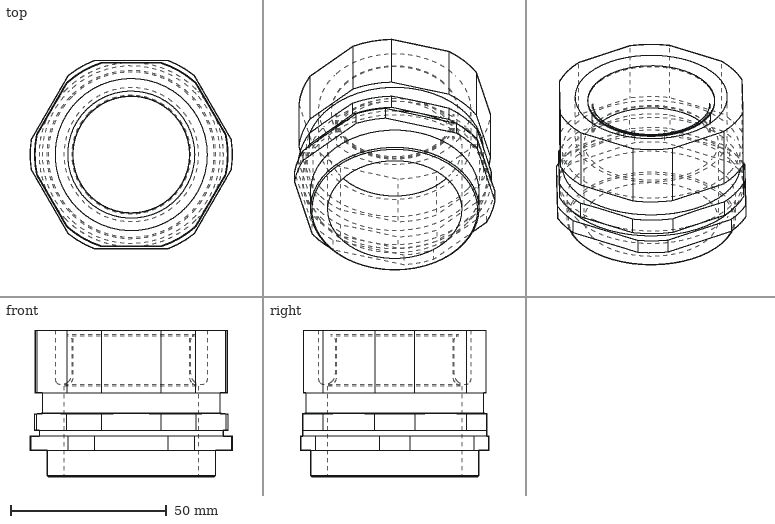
import cadquery as cq
import math

thread_top = 8.5
locknut_top = 13.05
collar_top = 14.95
body_hex_top = 20.45
neck_top = 26.95
overall_height = 47.0

thread_diameter = 54.1
thread_chamfer = 0.45
collar_diameter = 59.1
neck_diameter = 57.1

locknut_flats = 60.5
locknut_corners = 64.95
body_hex_flats = 59.1
body_hex_corners = 62.15
body_hex_slope_drop = 0.3
cap_flats = 58.65
cap_corners = 61.7

cap_bore_radius = 24.4
tube_bore_radius = 18.7
tube_wall = 0.4
tube_outer_radius = tube_bore_radius + tube_wall
lip_rim_radius = 20.4
lip_top = overall_height - 1.35
lip_radius = lip_rim_radius - tube_bore_radius
lip_bottom = lip_top - lip_radius

flare_radius = 2.85
flare_top = 32.1
flare_bottom = flare_top - flare_radius
lower_bore_radius = tube_bore_radius + flare_radius

groove_floor = flare_bottom + tube_wall
groove_fillet = 1.75

DIAGONAL = math.sqrt(0.5)


def disc(diameter, bottom, top):
    return cq.Workplane("XY").workplane(offset=bottom).circle(diameter / 2).extrude(top - bottom)


def rounded_hexagon(flats, corners, bottom, top):
    """Hexagon with flats facing +Y and -Y and its corners turned down to a circle."""
    point_diameter = flats / math.cos(math.pi / 6)
    hexagon = cq.Workplane("XY").workplane(offset=bottom).polygon(6, point_diameter).extrude(top - bottom)
    return hexagon.intersect(disc(corners, bottom, top))


def body_hexagon():
    """Hexagon whose upper face slopes gently down from the neck to the corners."""
    hexagon = rounded_hexagon(body_hex_flats, body_hex_corners, collar_top, body_hex_top)
    corner_radius = body_hex_corners / 2
    turned_blank = (
        cq.Workplane("XZ")
        .moveTo(0, collar_top)
        .lineTo(corner_radius, collar_top)
        .lineTo(corner_radius, body_hex_top - body_hex_slope_drop)
        .lineTo(neck_diameter / 2, body_hex_top)
        .lineTo(0, body_hex_top)
        .close()
        .revolve(360, (0, 0, 0), (0, 1, 0))
    )
    return hexagon.intersect(turned_blank)


def arc_middle(center_radius, center_height, radius, radial_sign, axial_sign):
    """Midpoint of a quarter arc, in the given quadrant around its centre."""
    offset = radius * DIAGONAL
    return center_radius + radial_sign * offset, center_height + axial_sign * offset


def cavity():
    """Space inside the gland: lower bore, flare, tube bore, lip and groove."""
    groove_low_radius = cap_bore_radius - groove_fillet
    foot_fillet = groove_low_radius - tube_outer_radius
    foot_fillet_top = groove_floor + foot_fillet
    fillet_top = groove_floor + groove_fillet
    return (
        cq.Workplane("XZ")
        .lineTo(lower_bore_radius, 0)
        .lineTo(lower_bore_radius, flare_bottom)
        .threePointArc(
            arc_middle(lower_bore_radius, flare_top, flare_radius, -1, -1),
            (tube_bore_radius, flare_top),
        )
        .lineTo(tube_bore_radius, lip_bottom)
        .threePointArc(
            arc_middle(lip_rim_radius, lip_bottom, lip_radius, -1, 1),
            (lip_rim_radius, lip_top),
        )
        .lineTo(lip_rim_radius, lip_top - tube_wall)
        .threePointArc(
            arc_middle(lip_rim_radius, lip_bottom, lip_radius - tube_wall, -1, 1),
            (tube_outer_radius, lip_bottom),
        )
        .lineTo(tube_outer_radius, foot_fillet_top)
        .threePointArc(
            arc_middle(groove_low_radius, foot_fillet_top, foot_fillet, -1, -1),
            (groove_low_radius, groove_floor),
        )
        .threePointArc(
            arc_middle(groove_low_radius, fillet_top, groove_fillet, 1, -1),
            (cap_bore_radius, fillet_top),
        )
        .lineTo(cap_bore_radius, overall_height)
        .lineTo(0, overall_height)
        .close()
        .revolve(360, (0, 0, 0), (0, 1, 0))
    )


thread = disc(thread_diameter, 0, thread_top).faces("<Z").edges().chamfer(thread_chamfer)
locknut = rounded_hexagon(locknut_flats, locknut_corners, thread_top, locknut_top)
collar = disc(collar_diameter, locknut_top, collar_top)
neck = disc(neck_diameter, body_hex_top, neck_top)
cap = rounded_hexagon(cap_flats, cap_corners, neck_top, overall_height)

outside = thread.union(locknut).union(collar).union(body_hexagon()).union(neck).union(cap)
result = outside.cut(cavity())